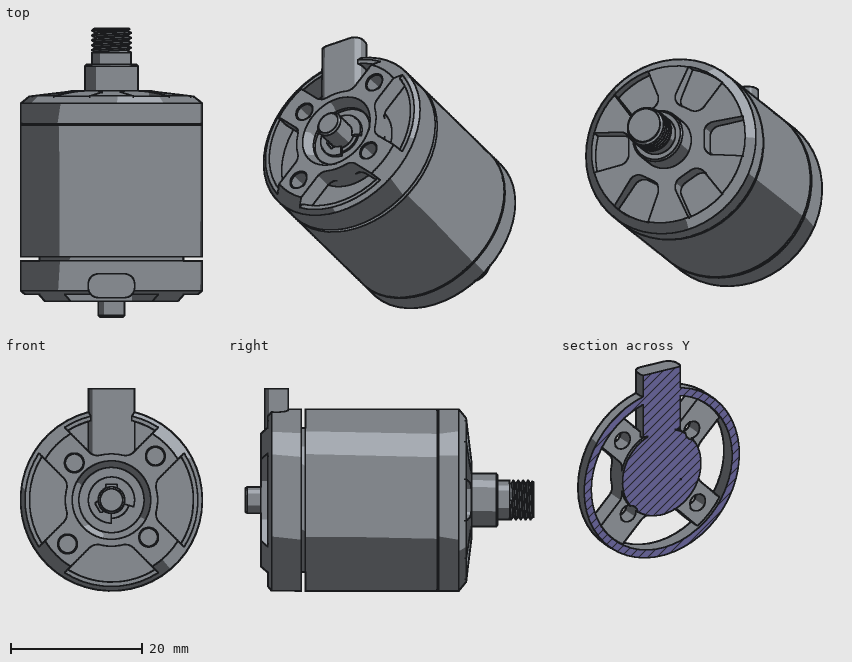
import cadquery as cq
import math


SHAFT_FRONT_Y = -2.4
RIM_FACE_Y = 1.05
SPOKE_BACK_Y = 2.95
BASE_FLOOR_Y = 4.75
BASE_BACK_Y = 6.15
BELL_FRONT_Y = 6.78
SEAM_Y = 26.85
CAP_EDGE_Y = 30.15
CAP_CHAMFER_Y = 31.3
CAP_HUB_Y = 32.08
COLLAR_END_Y = 36.1
THREAD_START_Y = 37.9
SHAFT_END_Y = 41.6

BODY_R = 13.85
MOUNT_FACE_R = 11.9
GAP_R = 11.0
CAP_CHAMFER_R = 12.45
CAP_HUB_R = 5.95
BASE_CONE_LENGTH = 1.65
SEAM_WIDTH = 0.2
SEAM_DEPTH = 0.2

SPOKE_WIDTH = 5.55
BASE_HUB_R = 7.05
RIM_INNER_R = 12.5
SPOKE_FILLET = 1.75
RIM_CUT_OVERRUN = 0.45
MOUNT_HOLE_R = 1.35
MOUNT_HOLE_CHAMFER = 0.15
MOUNT_CIRCLE_RADII = (9.45, 8.0)

RECESS_MOUTH_R = 6.0
RECESS_FLOOR_R = 4.95
RECESS_TAPER_DEPTH = 1.55
RECESS_DEPTH = 2.02
CLIP_R = 3.5
CLIP_FRONT_Y = 1.28
CLIP_THICKNESS = 0.5
CLIP_GAP_START = -90
CLIP_GAP_END = -17
CLIP_NOTCH_WIDTH = 1.75
CLIP_NOTCH_R = 2.4
CLIP_NOTCH_FILLET = 0.2
CLIP_NOTCH_ANGLES = (90, 210)
BUSH_R = 2.75

SHAFT_R = 2.02
SHAFT_CHAMFER = 0.3
COLLAR_R = 4.05
COLLAR_CHAMFER = 0.25
THREAD_R = 3.0
THREAD_PITCH = 0.75
THREAD_ROOT_R = 2.55
THREAD_SINK = 0.1
THREAD_END_CHAMFER = 0.35
THREAD_ROOT_WIDTH = 0.7
THREAD_CREST_WIDTH = 0.05

CABLE_WIDTH = 7.05
CABLE_THICKNESS = 3.6
CABLE_FRONT_Y = 0.55
CABLE_CORNER_R = 1.5
CABLE_TOP_Z = 17.0
CABLE_BOTTOM_Z = 6.6

WINDOW_COUNT = 6
WINDOW_INNER_R = 6.1
WINDOW_INNER_HALF = 2.45
WINDOW_FILLET = 1.65
WINDOW_OUTER_R = 12.1
WINDOW_OUTER_HALF = 3.15
WINDOW_FLOOR_Y = 29.5

AXIS_POINT = (0, 0, 0)
AXIS_END = (0, 1, 0)


def face_plane(y):
    """Workplane across the motor axis at y, with local axes X and Z."""
    return cq.Workplane("XZ", origin=(0, y, 0))


def disc(radius, y_start, y_end):
    return face_plane(y_start).circle(radius).extrude(y_start - y_end)


def turned(points):
    """Solid of revolution about Y from (radius, y) points."""
    return cq.Workplane("XY").polyline(points).close().revolve(360, AXIS_POINT, AXIS_END)


def spun(shape, angle):
    """Turn a shape about Y from the +X direction towards +Z."""
    return shape.rotate(AXIS_POINT, AXIS_END, -angle)


def make_base():
    base = turned([
        (0, 0),
        (MOUNT_FACE_R, 0),
        (BODY_R, BASE_CONE_LENGTH),
        (BODY_R, BASE_BACK_Y),
        (0, BASE_BACK_Y),
    ])
    hollow = disc(RIM_INNER_R, SPOKE_BACK_Y, BASE_FLOOR_Y)
    hollow = hollow.cut(disc(BASE_HUB_R, SPOKE_BACK_Y, BASE_FLOOR_Y))
    for quarter in range(4):
        hollow = hollow.union(spun(make_spoke_gap(RIM_INNER_R, SPOKE_BACK_Y), 90 * quarter))
        hollow = hollow.union(spun(make_spoke_gap(BODY_R + RIM_CUT_OVERRUN, RIM_FACE_Y), 90 * quarter))
    return base.cut(hollow)


def make_spoke_gap(outer_radius, depth):
    """Space between two diagonal spokes, from the hub out to outer_radius."""
    apex_x = SPOKE_WIDTH / math.sqrt(2)
    reach = 2 * BODY_R
    wedge = (
        face_plane(0)
        .polyline([
            (apex_x, 0),
            (apex_x + reach, reach),
            (apex_x + reach, -reach),
        ])
        .close()
        .extrude(-depth)
    )
    gap = wedge.intersect(disc(outer_radius, 0, depth)).cut(disc(BASE_HUB_R, 0, depth))
    return gap.edges("|Y and <X").fillet(SPOKE_FILLET)


def cut_mount_holes(body):
    mouth_r = MOUNT_HOLE_R + MOUNT_HOLE_CHAMFER
    hole = turned([
        (0, 0),
        (mouth_r, 0),
        (MOUNT_HOLE_R, MOUNT_HOLE_CHAMFER),
        (MOUNT_HOLE_R, BASE_FLOOR_Y),
        (0, BASE_FLOOR_Y),
    ])
    for quarter in range(4):
        circle_r = MOUNT_CIRCLE_RADII[quarter % 2]
        body = body.cut(spun(hole.translate((circle_r, 0, 0)), 45 + 90 * quarter))
    return body


def cut_recess(body):
    return body.cut(turned([
        (0, 0),
        (RECESS_MOUTH_R, 0),
        (RECESS_FLOOR_R, RECESS_TAPER_DEPTH),
        (RECESS_FLOOR_R, RECESS_DEPTH),
        (0, RECESS_DEPTH),
    ]))


def make_clip():
    """Open retaining ring with square notches against the shaft."""
    clip_back_y = CLIP_FRONT_Y + CLIP_THICKNESS
    reach = 2 * CLIP_R
    start, end = math.radians(CLIP_GAP_START), math.radians(CLIP_GAP_END)
    gap = (
        face_plane(CLIP_FRONT_Y)
        .lineTo(reach * math.cos(start), reach * math.sin(start))
        .lineTo(reach * math.cos(end), reach * math.sin(end))
        .close()
        .extrude(-CLIP_THICKNESS)
    )
    clip = disc(CLIP_R, CLIP_FRONT_Y, clip_back_y).cut(gap)
    notch = (
        face_plane(CLIP_FRONT_Y)
        .center(CLIP_NOTCH_R / 2, 0)
        .rect(CLIP_NOTCH_R, CLIP_NOTCH_WIDTH)
        .extrude(-CLIP_THICKNESS)
        .edges("|Y and >X")
        .fillet(CLIP_NOTCH_FILLET)
    )
    for angle in CLIP_NOTCH_ANGLES:
        clip = clip.cut(spun(notch, angle))
    return clip


def make_bell():
    seam_floor_r = BODY_R - SEAM_DEPTH
    bell = turned([
        (0, BELL_FRONT_Y),
        (BODY_R, BELL_FRONT_Y),
        (BODY_R, SEAM_Y),
        (seam_floor_r, SEAM_Y),
        (seam_floor_r, SEAM_Y + SEAM_WIDTH),
        (BODY_R, SEAM_Y + SEAM_WIDTH),
        (BODY_R, CAP_EDGE_Y),
        (CAP_CHAMFER_R, CAP_CHAMFER_Y),
        (CAP_HUB_R, CAP_HUB_Y),
        (0, CAP_HUB_Y),
    ])
    window = (
        face_plane(WINDOW_FLOOR_Y)
        .moveTo(WINDOW_INNER_R, -WINDOW_INNER_HALF)
        .lineTo(WINDOW_INNER_R, WINDOW_INNER_HALF)
        .lineTo(WINDOW_OUTER_R, WINDOW_OUTER_HALF)
        .threePointArc(
            (math.hypot(WINDOW_OUTER_R, WINDOW_OUTER_HALF), 0),
            (WINDOW_OUTER_R, -WINDOW_OUTER_HALF),
        )
        .close()
        .extrude(WINDOW_FLOOR_Y - CAP_HUB_Y)
        .edges("|Y and <X")
        .fillet(WINDOW_FILLET)
    )
    for index in range(WINDOW_COUNT):
        bell = bell.cut(spun(window, index * 360 / WINDOW_COUNT))
    return bell


def make_shaft():
    return turned([
        (0, SHAFT_FRONT_Y),
        (SHAFT_R - SHAFT_CHAMFER, SHAFT_FRONT_Y),
        (SHAFT_R, SHAFT_FRONT_Y + SHAFT_CHAMFER),
        (SHAFT_R, CAP_EDGE_Y),
        (COLLAR_R, CAP_EDGE_Y),
        (COLLAR_R, COLLAR_END_Y - COLLAR_CHAMFER),
        (COLLAR_R - COLLAR_CHAMFER, COLLAR_END_Y),
        (THREAD_R, COLLAR_END_Y),
        (THREAD_R, THREAD_START_Y),
        (THREAD_ROOT_R, THREAD_START_Y),
        (THREAD_ROOT_R, SHAFT_END_Y),
        (0, SHAFT_END_Y),
    ])


def make_thread_ridge():
    """Right-handed helical ridge, sunk slightly into its core and chamfered at the shaft end."""
    sunk_r = THREAD_ROOT_R - THREAD_SINK
    half_root = THREAD_ROOT_WIDTH / 2
    half_crest = THREAD_CREST_WIDTH / 2
    length = SHAFT_END_Y + THREAD_PITCH - THREAD_START_Y
    helix = cq.Wire.makeHelix(THREAD_PITCH, length, THREAD_R)
    ridge = (
        cq.Workplane("XZ")
        .polyline([
            (sunk_r, half_root),
            (THREAD_R, half_crest),
            (THREAD_R, -half_crest),
            (sunk_r, -half_root),
        ])
        .close()
        .sweep(cq.Workplane(obj=helix), isFrenet=True)
    )
    ridge = ridge.rotate(AXIS_POINT, (1, 0, 0), -90).translate((0, THREAD_START_Y, 0))
    tip_r = THREAD_R - THREAD_END_CHAMFER
    envelope = turned([
        (0, COLLAR_END_Y),
        (COLLAR_R, COLLAR_END_Y),
        (COLLAR_R, SHAFT_END_Y - (COLLAR_R - tip_r)),
        (tip_r, SHAFT_END_Y),
        (0, SHAFT_END_Y),
    ])
    return ridge.intersect(envelope)


def make_cable():
    """Flat round-edged cable, rooted in the hub and rising past the rim."""
    return (
        cq.Workplane("XY", origin=(0, CABLE_FRONT_Y + CABLE_THICKNESS / 2, CABLE_BOTTOM_Z))
        .rect(CABLE_WIDTH, CABLE_THICKNESS)
        .extrude(CABLE_TOP_Z - CABLE_BOTTOM_Z)
        .edges("|Z")
        .fillet(CABLE_CORNER_R)
    )


body = make_base().union(make_cable())
body = body.union(disc(GAP_R, BASE_BACK_Y, BELL_FRONT_Y)).union(make_bell())
body = cut_recess(body)
body = cut_mount_holes(body)
body = body.union(disc(BUSH_R, CLIP_FRONT_Y + CLIP_THICKNESS, RECESS_DEPTH)).union(make_clip())
result = body.union(make_shaft()).union(make_thread_ridge())